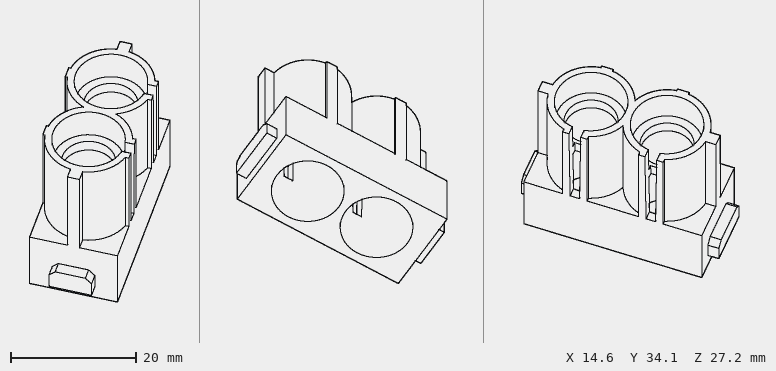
import cadquery as cq

total_height = 27.2
total_length = 34.1
block_width = 14.6
block_height = 11.0
tab_projection = 1.88
block_length = total_length - 2 * tab_projection

tab_bottom = 2.5
tab_height = 3.7
tab_chamfer = 1.02
front_tab_width = 7.05
back_tab_width = 9.1

socket_spacing = 12.95
socket_centres = (-socket_spacing / 2, socket_spacing / 2)
socket_radius = 7.02
socket_height = total_height - block_height
mouth_radius = 5.85
bore_bottom_radius = 5.75
bore_depth = 5.25
throat_radius = 4.33
shelf_thickness = 2.05
chamber_radius = 5.8
shelf_bottom = total_height - bore_depth - shelf_thickness

rib_width = 2.0
slot_lug_width = 4.23
slot_top_width = 2.0
slot_floor_width = 1.6
slot_inner_reach = 4.88


def box_between(x_start, x_end, y_start, y_end, z_start, z_end):
    """Box given by its limits along each axis."""
    return cq.Workplane("XY").box(
        x_end - x_start, y_end - y_start, z_end - z_start, centered=False
    ).translate((x_start, y_start, z_start))


def end_tab(width, y_start):
    """Tab with both upper corners chamfered."""
    tab = box_between(
        -width / 2, width / 2, y_start, y_start + tab_projection, tab_bottom, tab_bottom + tab_height
    )
    return tab.faces(">Z").edges("|Y").chamfer(tab_chamfer)


def socket_tower(y):
    """Round tower with a rib on -X and a wide slot lug on +X."""
    tower = cq.Workplane("XY", origin=(0, y, block_height)).circle(socket_radius).extrude(socket_height)
    side_rib = box_between(
        -block_width / 2, 0, y - rib_width / 2, y + rib_width / 2, block_height, total_height
    )
    slot_lug = box_between(
        0, block_width / 2, y - slot_lug_width / 2, y + slot_lug_width / 2, block_height, total_height
    )
    return tower.union(side_rib).union(slot_lug)


def socket_cavity(y):
    """Tapered mouth, throat through the shelf, and chamber open at the underside."""
    profile = [
        (0, 0),
        (chamber_radius, 0),
        (chamber_radius, shelf_bottom),
        (throat_radius, shelf_bottom),
        (throat_radius, total_height - bore_depth),
        (bore_bottom_radius, total_height - bore_depth),
        (mouth_radius, total_height),
        (0, total_height),
    ]
    cavity = cq.Workplane("XZ").polyline(profile).close().revolve(360, (0, 0, 0), (0, 1, 0))
    return cavity.translate((0, y, 0))


def side_slot(y):
    """Slot through the +X wall and shelf, narrowing down to the block top."""
    profile = [
        (y - slot_floor_width / 2, block_height),
        (y + slot_floor_width / 2, block_height),
        (y + slot_top_width / 2, total_height),
        (y - slot_top_width / 2, total_height),
    ]
    slot_length = block_width / 2 - slot_inner_reach
    return cq.Workplane("YZ", origin=(slot_inner_reach, 0, 0)).polyline(profile).close().extrude(slot_length)


body = cq.Workplane("XY").box(block_width, block_length, block_height, centered=(True, True, False))
body = body.union(end_tab(front_tab_width, -total_length / 2))
body = body.union(end_tab(back_tab_width, block_length / 2))

for centre in socket_centres:
    body = body.union(socket_tower(centre))
end_rib = box_between(
    -rib_width / 2, rib_width / 2, -block_length / 2, block_length / 2, block_height, total_height
)
body = body.union(end_rib)

for centre in socket_centres:
    body = body.cut(socket_cavity(centre))
    body = body.cut(side_slot(centre))

result = body